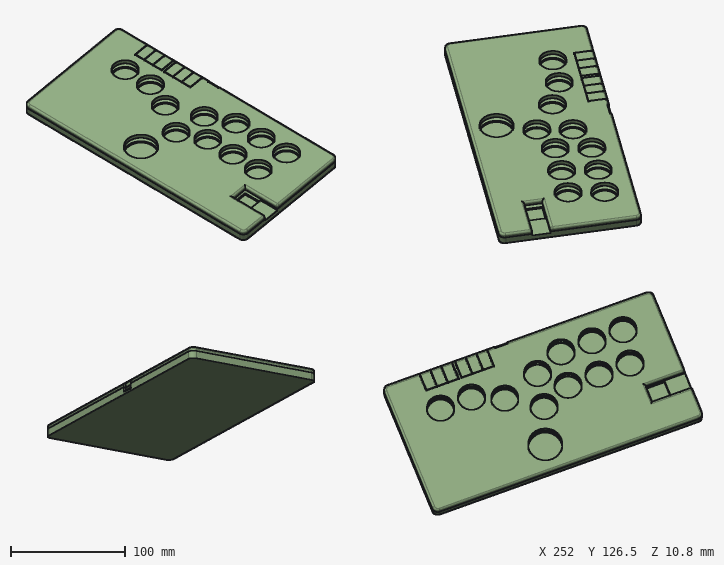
import cadquery as cq

LENGTH = 252.0
DEPTH = 126.5
HEIGHT = 10.8
CORNER_RADIUS = 5.0
RIM_FILLET = 2.0

LID_THICKNESS = 4.0
BASE_HEIGHT = HEIGHT - LID_THICKNESS

WALL = 2.0
FLOOR = 2.8
RECESS_BOTTOM = 1.0

BUTTON_DIAMETER = 24.0
BUTTON_CENTERS = [
    (-86.0, 25.7),
    (-57.0, 25.7),
    (-30.2, 14.4),
    (4.8, 25.7),
    (31.2, 37.3),
    (60.2, 37.3),
    (89.2, 37.3),
    (25.7, 5.8),
    (54.7, 5.8),
    (83.7, 5.8),
    (-1.0, -5.3),
]
THUMB_DIAMETER = 30.0
THUMB_CENTER = (-12.9, -38.8)

POCKET_X_MIN = 89.0
POCKET_Y_MIN = -34.3
POCKET_Y_MAX = -18.1
SHELF_X_MIN = 106.5
SHELF_TOP = 5.0
SHELF_MARGIN = 5.0

KEY_GROUP_STARTS = [-91.5, -58.5]
KEYS_PER_GROUP = 3
KEY_PITCH = 10.0
KEY_FRONT_Y = 45.9
SLIT_WIDTH = 0.5

PORT_X_MIN = -21.2
PORT_X_MAX = -9.3
PORT_BOTTOM = 3.3
PORT_TOP = 10.5
PORT_CHAMFER = 1.0

BOSS_DIAMETER = 10.0
BOSS_HEIGHT = 1.0
BOSS_CENTER = (98.5, 53.5)

X_MAX = LENGTH / 2
BACK_Y = DEPTH / 2
INNER_BACK_Y = BACK_Y - WALL


def box(x_range, y_range, z_range):
    """Box between the given lower and upper limits on each axis."""
    (x0, x1), (y0, y1), (z0, z1) = x_range, y_range, z_range
    return cq.Workplane("XY").box(x1 - x0, y1 - y0, z1 - z0, centered=False).translate((x0, y0, z0))


def rounded_slab(bottom, top, inset=0.0):
    """Plate with the case outline, shrunk by the inset."""
    return (
        cq.Workplane("XY", origin=(0, 0, bottom))
        .rect(LENGTH - 2 * inset, DEPTH - 2 * inset)
        .extrude(top - bottom)
        .edges("|Z")
        .fillet(CORNER_RADIUS - inset)
    )


def button_cylinders(bottom, top):
    """Cylinders for all round button openings."""
    plane = cq.Workplane("XY", origin=(0, 0, bottom))
    buttons = plane.pushPoints(BUTTON_CENTERS).circle(BUTTON_DIAMETER / 2).extrude(top - bottom)
    thumb = plane.center(*THUMB_CENTER).circle(THUMB_DIAMETER / 2).extrude(top - bottom)
    return buttons.union(thumb)


def pocket_box(x_min, x_max, bottom, top):
    """Stretch of the side pocket at its full width."""
    return box((x_min, x_max), (POCKET_Y_MIN, POCKET_Y_MAX), (bottom, top))


def key_slits():
    """Comb of slits around each group of keys."""
    half = SLIT_WIDTH / 2
    z_range = (BASE_HEIGHT, HEIGHT)
    slits = cq.Workplane("XY")
    for start in KEY_GROUP_STARTS:
        end = start + KEYS_PER_GROUP * KEY_PITCH
        slits = slits.add(
            box((start - half, end + half), (KEY_FRONT_Y - half, KEY_FRONT_Y + half), z_range)
        )
        for index in range(KEYS_PER_GROUP + 1):
            x = start + index * KEY_PITCH
            slits = slits.add(box((x - half, x + half), (KEY_FRONT_Y - half, INNER_BACK_Y), z_range))
    return slits.combine()


def cable_port():
    """Opening through the back wall, shared by the lid and the base."""
    return box((PORT_X_MIN, PORT_X_MAX), (INNER_BACK_Y, BACK_Y), (PORT_BOTTOM, PORT_TOP))


def port_sill():
    """Selector for the outer bottom edge of the cable port."""
    x = (PORT_X_MIN + PORT_X_MAX) / 2
    return cq.selectors.NearestToPointSelector((x, BACK_Y, PORT_BOTTOM))


def make_base():
    """Open tray with button recesses, pocket shelf, boss and a chamfered port sill."""
    cavity = rounded_slab(FLOOR, BASE_HEIGHT, WALL)
    shelf_block = box(
        (SHELF_X_MIN, X_MAX),
        (POCKET_Y_MIN - SHELF_MARGIN, POCKET_Y_MAX + SHELF_MARGIN),
        (FLOOR, BASE_HEIGHT),
    )
    boss = (
        cq.Workplane("XY", origin=(*BOSS_CENTER, FLOOR))
        .circle(BOSS_DIAMETER / 2)
        .extrude(BOSS_HEIGHT)
    )
    return (
        rounded_slab(0, BASE_HEIGHT)
        .cut(cavity)
        .union(shelf_block)
        .union(boss)
        .cut(button_cylinders(RECESS_BOTTOM, FLOOR))
        .cut(pocket_box(POCKET_X_MIN, SHELF_X_MIN, RECESS_BOTTOM, FLOOR))
        .cut(pocket_box(SHELF_X_MIN, X_MAX, SHELF_TOP, BASE_HEIGHT))
        .cut(cable_port())
        .edges(port_sill())
        .chamfer(PORT_CHAMFER)
    )


def make_lid():
    """Flat cover with a rounded rim that follows the outline and the pocket."""
    return (
        rounded_slab(BASE_HEIGHT, HEIGHT)
        .cut(pocket_box(POCKET_X_MIN, X_MAX, BASE_HEIGHT, HEIGHT))
        .edges("|Z and >X")
        .fillet(RIM_FILLET)
        .faces(">Z")
        .edges()
        .fillet(RIM_FILLET)
        .cut(button_cylinders(BASE_HEIGHT, HEIGHT))
        .cut(key_slits())
        .cut(cable_port())
    )


base = make_base()
lid = make_lid()

result = cq.Compound.makeCompound([base.val(), lid.val()])